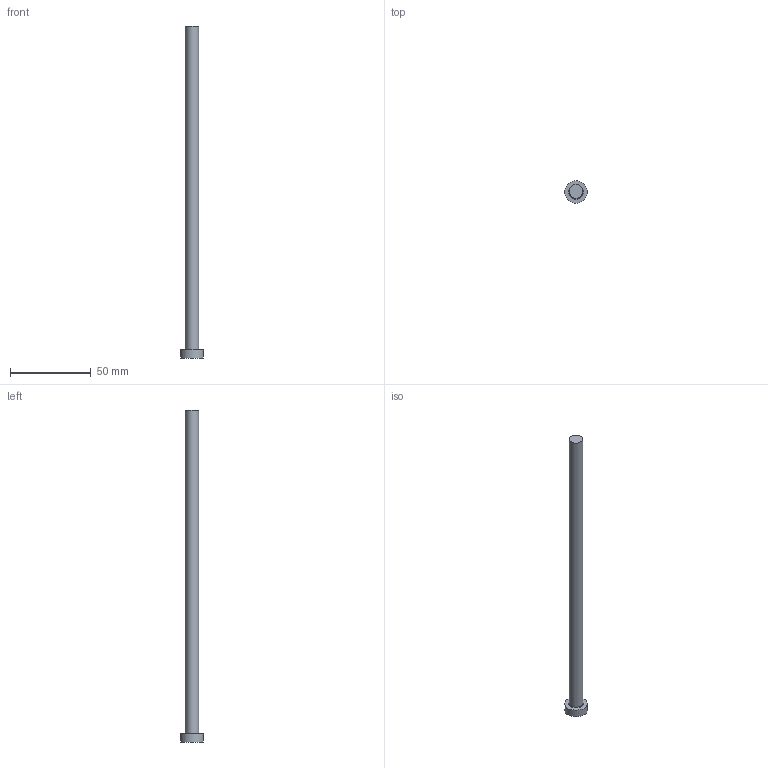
import cadquery as cq

total_length = 205.0
head_diameter = 14.0
head_height = 5.0
shank_diameter = 8.5
root_fillet_radius = 0.2

head_radius = head_diameter / 2
shank_radius = shank_diameter / 2


def make_half_profile():
    """Half section in the XZ plane, from the axis out to the surface of the pin."""
    return (
        cq.Workplane("XZ")
        .lineTo(head_radius, 0)
        .lineTo(head_radius, head_height)
        .lineTo(shank_radius + root_fillet_radius, head_height)
        .radiusArc((shank_radius, head_height + root_fillet_radius), root_fillet_radius)
        .lineTo(shank_radius, total_length)
        .lineTo(0, total_length)
        .close()
    )


def make_pin():
    """Turn the half section a full circle about the Z axis."""
    return make_half_profile().revolve(360, (0, 0, 0), (0, 1, 0))


result = make_pin()